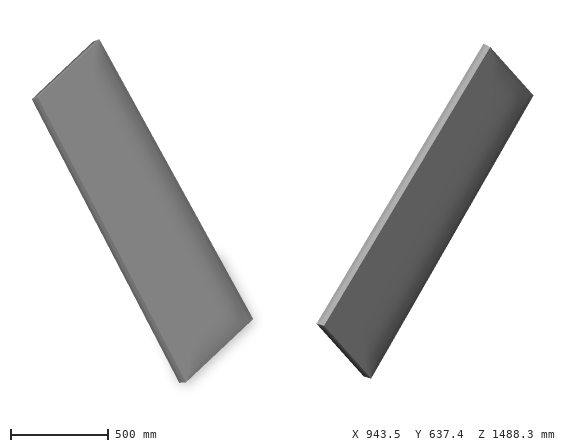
import cadquery as cq
import math

SIZE_X = 943.49
SIZE_Y = 637.4
SIZE_Z = 1488.3

THICKNESS = 45.0
SLOPE_ANGLE = 58.29
TOP_END_RISE = 27.3

BACK_TAPER = 55.0


def make_sloping_strip():
    """Side profile of the panel, extruded across the full width."""
    slope = math.radians(SLOPE_ANGLE)
    left = -SIZE_X / 2
    right = SIZE_X / 2
    bottom = -SIZE_Z / 2
    top = SIZE_Z / 2
    top_end_run = (THICKNESS - TOP_END_RISE * math.cos(slope)) / math.sin(slope)
    lower_face_run = (SIZE_Z - TOP_END_RISE) / math.tan(slope)
    upper_face_drop = (SIZE_X - top_end_run) * math.tan(slope)
    corners = [
        (left, top - TOP_END_RISE),
        (left + top_end_run, top),
        (right, top - upper_face_drop),
        (left + lower_face_run, bottom),
    ]
    profile = cq.Workplane("XZ").polyline(corners).close()
    return profile.extrude(SIZE_Y / 2, both=True)


def make_tapered_plan():
    """Plan outline with upright sides, tall enough to enclose the strip."""
    half_length = SIZE_X / 2
    half_width = SIZE_Y / 2
    outline = [
        (-half_length, -half_width),
        (half_length, -half_width),
        (half_length, half_width),
        (-half_length, half_width - BACK_TAPER),
    ]
    plan = cq.Workplane("XY").polyline(outline).close()
    return plan.extrude(SIZE_Z / 2, both=True)


result = make_sloping_strip().intersect(make_tapered_plan())